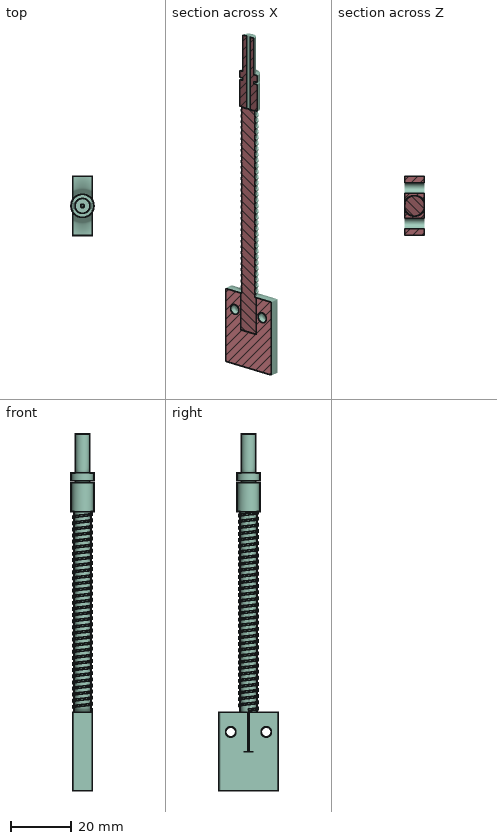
import cadquery as cq

overall_height = 118.61
block_height = 26.2
conduit_insertion = block_height / 2
sleeve_bottom = 92.75
sleeve_top = 102.4
collar_bottom = 103.0
collar_top = 105.6

block_width = 6.6
block_length = 19.81
block_edge_radius = 0.3
mount_hole_diameter = 3.3
mount_hole_spacing = 11.8
mount_hole_height = 19.6

conduit_end_diameter = block_width + 0.03
ridge_diameter = block_width
core_diameter = 5.8
ridge_pitch = 2.032
ridge_width = 0.6
ridge_root_overlap = 0.1
ridge_bottom_gap = 0.42
ridge_top_gap = 0.05

sleeve_diameter = 7.67
pin_diameter = 4.95
pin_bore_diameter = 1.2


def cylinder(diameter, bottom, top):
    return cq.Workplane("XY").workplane(offset=bottom).circle(diameter / 2).extrude(top - bottom)


def make_block():
    block = cq.Workplane("XY").box(block_width, block_length, block_height, centered=(True, True, False))
    block = block.edges("|Z").fillet(block_edge_radius)
    mount_holes = (
        cq.Workplane("YZ")
        .pushPoints([(side * mount_hole_spacing / 2, mount_hole_height) for side in (-1, 1)])
        .circle(mount_hole_diameter / 2)
        .extrude(block_width, both=True)
    )
    conduit_socket = cylinder(conduit_end_diameter, block_height - conduit_insertion, block_height)
    return block.cut(mount_holes).cut(conduit_socket)


def make_ridge():
    """Right-handed helical ridge of rectangular section along the exposed conduit."""
    inner_radius = core_diameter / 2 - ridge_root_overlap
    outer_radius = ridge_diameter / 2
    start = block_height + ridge_bottom_gap + ridge_width / 2
    end = sleeve_bottom - ridge_top_gap - ridge_width / 2
    path = cq.Wire.makeHelix(ridge_pitch, end - start, inner_radius)
    section = (
        cq.Workplane("XZ")
        .center((inner_radius + outer_radius) / 2, 0)
        .rect(outer_radius - inner_radius, ridge_width)
    )
    return section.sweep(cq.Workplane(path), isFrenet=True).translate((0, 0, start))


def make_conduit():
    plugged_end = cylinder(conduit_end_diameter, block_height - conduit_insertion, block_height)
    core = cylinder(core_diameter, block_height, sleeve_bottom)
    return plugged_end.union(core).union(make_ridge())


def make_connector():
    sleeve = cylinder(sleeve_diameter, sleeve_bottom, sleeve_top)
    collar = cylinder(sleeve_diameter, collar_bottom, collar_top)
    pin = cylinder(pin_diameter, sleeve_bottom, overall_height)
    bore = cylinder(pin_bore_diameter, sleeve_bottom, overall_height)
    return sleeve.union(pin).union(collar).cut(bore)


block = make_block()
conduit = make_conduit()
connector = make_connector()

result = cq.Compound.makeCompound([block.val(), conduit.val(), connector.val()])